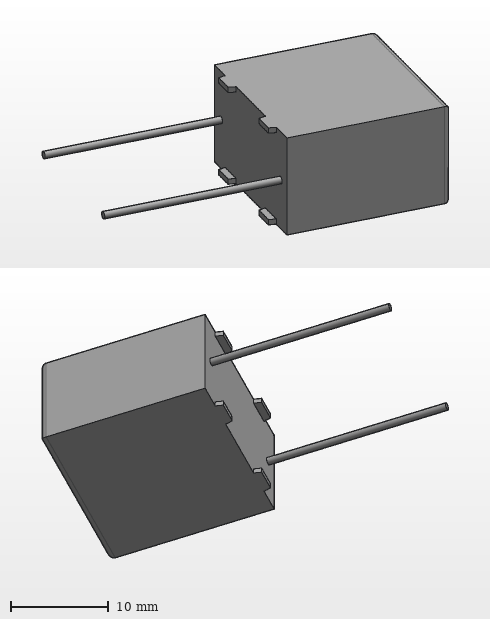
import cadquery as cq

OVERALL_LENGTH = 38.1
HOUSING_WIDTH = 18.3
HOUSING_DEPTH = 18.3
HOUSING_HEIGHT = 11.1
BACK_EDGE_RADIUS = 0.7

FOOT_SPACING = 10.15
FOOT_BASE_WIDTH = 2.8
FOOT_TIP_WIDTH = 2.35
FOOT_LENGTH = 0.8
FOOT_THICKNESS = 0.6

LEAD_SPACING = 15.0
LEAD_DIAMETER = 0.8
LEAD_LENGTH = OVERALL_LENGTH - HOUSING_DEPTH


def make_foot(center_x, bottom_z):
    """Tapered foot that grows from the front face (Y = 0) toward -Y."""
    return (
        cq.Workplane("XY", origin=(center_x, 0, bottom_z))
        .moveTo(-FOOT_BASE_WIDTH / 2, 0)
        .lineTo(-FOOT_TIP_WIDTH / 2, -FOOT_LENGTH)
        .lineTo(FOOT_TIP_WIDTH / 2, -FOOT_LENGTH)
        .lineTo(FOOT_BASE_WIDTH / 2, 0)
        .close()
        .extrude(FOOT_THICKNESS)
    )


def make_housing():
    """Box with its front face on Y = 0, rounded back edges and four front feet."""
    housing = (
        cq.Workplane("XY")
        .box(HOUSING_WIDTH, HOUSING_DEPTH, HOUSING_HEIGHT, centered=(True, False, True))
        .faces(">Y")
        .edges()
        .fillet(BACK_EDGE_RADIUS)
    )
    lower_foot_z = -HOUSING_HEIGHT / 2
    upper_foot_z = HOUSING_HEIGHT / 2 - FOOT_THICKNESS
    for center_x in (-FOOT_SPACING / 2, FOOT_SPACING / 2):
        for bottom_z in (lower_foot_z, upper_foot_z):
            housing = housing.union(make_foot(center_x, bottom_z))
    return housing


def make_lead(center_x):
    """Round wire that starts on the front face and runs toward -Y."""
    return (
        cq.Workplane("XZ", origin=(center_x, 0, 0))
        .circle(LEAD_DIAMETER / 2)
        .extrude(LEAD_LENGTH)
    )


housing = make_housing()
leads = [make_lead(center_x) for center_x in (-LEAD_SPACING / 2, LEAD_SPACING / 2)]

result = cq.Compound.makeCompound([housing.val(), *[lead.val() for lead in leads]])